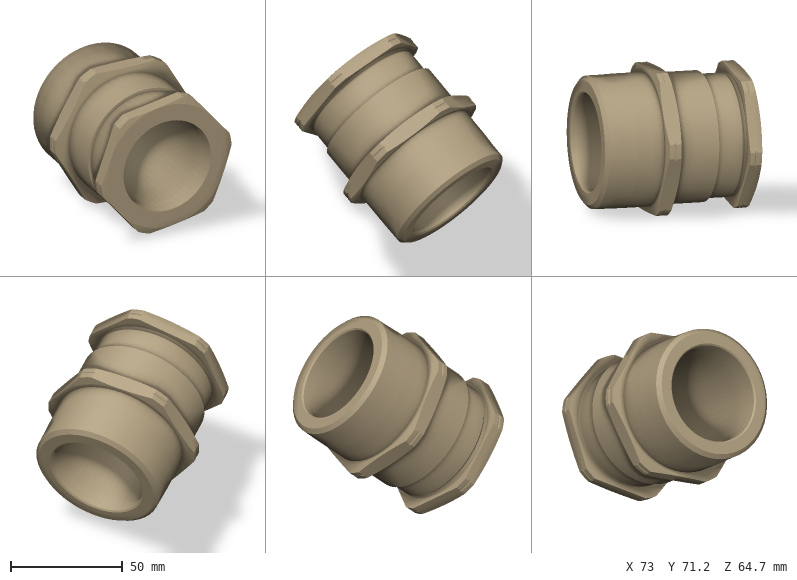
import cadquery as cq
import math

total_length = 73.0
taper_end = 14.8
body_nut_start = 27.2
body_nut_end = 35.25
shoulder = 53.15
neck_chamfer_start = 64.7
groove_bottom = 65.8
end_nut_start = 66.65

front_face_radius = 28.0
front_chamfer_length = 1.7
taper_small_radius = 29.9
thread_radius = 30.15
body_radius = 29.6
neck_radius = 27.9
groove_radius = 26.9
bore_radius = 22.1
bore_chamfer = 0.65

body_nut_flats = 64.7
body_nut_corner_diameter = 71.2
body_nut_corner_radius = body_nut_corner_diameter / 2
body_nut_face_radius = 32.05
body_nut_front_bevel = 0.9
body_nut_rear_bevel = 1.75
end_nut_flats = 60.15
end_nut_corner_radius = 33.15
end_nut_bevel = 0.8
end_nut_angle = 10.0
notch_radius = 0.5
notch_depth = 0.4


def revolve_about_x(points):
    """Turn an (x, radius) outline around the X axis."""
    return cq.Workplane("XY").polyline(points).close().revolve(360, (0, 0, 0), (1, 0, 0))


def make_nut(start, end, flats, angle, outline):
    """Hexagon trimmed to a turned outline, with corners on the Y axis at zero angle."""
    across_corners = flats / math.cos(math.pi / 6)
    hexagon = (
        cq.Workplane("YZ", origin=(start, 0, 0))
        .polygon(6, across_corners)
        .extrude(end - start)
        .rotate((0, 0, 0), (1, 0, 0), angle)
    )
    return hexagon.intersect(revolve_about_x(outline))


def corner_notch(middle, radius):
    """Ring of round section that nicks the rounded nut corners."""
    centre_radius = radius - notch_depth + notch_radius
    return (
        cq.Workplane("XY")
        .center(middle, centre_radius)
        .circle(notch_radius)
        .revolve(360, (0, -centre_radius, 0), (1, -centre_radius, 0))
    )


body = revolve_about_x([
    (0, 0),
    (0, front_face_radius),
    (front_chamfer_length, taper_small_radius),
    (taper_end, thread_radius),
    (body_nut_start, thread_radius),
    (body_nut_start, body_radius),
    (shoulder, body_radius),
    (shoulder, neck_radius),
    (neck_chamfer_start, neck_radius),
    (groove_bottom, groove_radius),
    (end_nut_start, neck_radius),
    (total_length, neck_radius),
    (total_length, 0),
])

body_nut_tip_start = body_nut_start + body_nut_front_bevel
body_nut_tip_end = body_nut_end - body_nut_rear_bevel
body_nut = make_nut(body_nut_start, body_nut_end, body_nut_flats, 0, [
    (body_nut_start, 0),
    (body_nut_start, body_nut_face_radius),
    (body_nut_tip_start, body_nut_corner_radius),
    (body_nut_tip_end, body_nut_corner_radius),
    (body_nut_end, body_radius),
    (body_nut_end, 0),
])
body_notch = corner_notch((body_nut_tip_start + body_nut_tip_end) / 2, body_nut_corner_radius)

end_nut_tip = total_length - end_nut_bevel
end_nut = make_nut(end_nut_start, total_length, end_nut_flats, end_nut_angle, [
    (end_nut_start, 0),
    (end_nut_start, end_nut_corner_radius),
    (end_nut_tip, end_nut_corner_radius),
    (total_length, end_nut_flats / 2),
    (total_length, 0),
])
end_notch = corner_notch((end_nut_start + end_nut_tip) / 2, end_nut_corner_radius)

bore = revolve_about_x([
    (0, 0),
    (0, bore_radius + bore_chamfer),
    (bore_chamfer, bore_radius),
    (total_length, bore_radius),
    (total_length, 0),
])

result = body.union(body_nut.cut(body_notch)).union(end_nut.cut(end_notch)).cut(bore)